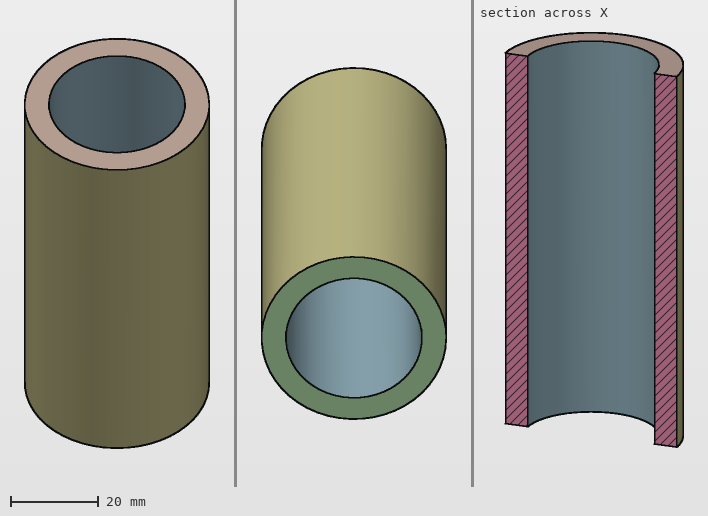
import cadquery as cq

length = 90.0
outer_diameter = 42.0
bore_diameter = 31.0

result = (
    cq.Workplane("XY")
    .circle(outer_diameter / 2)
    .circle(bore_diameter / 2)
    .extrude(length)
)